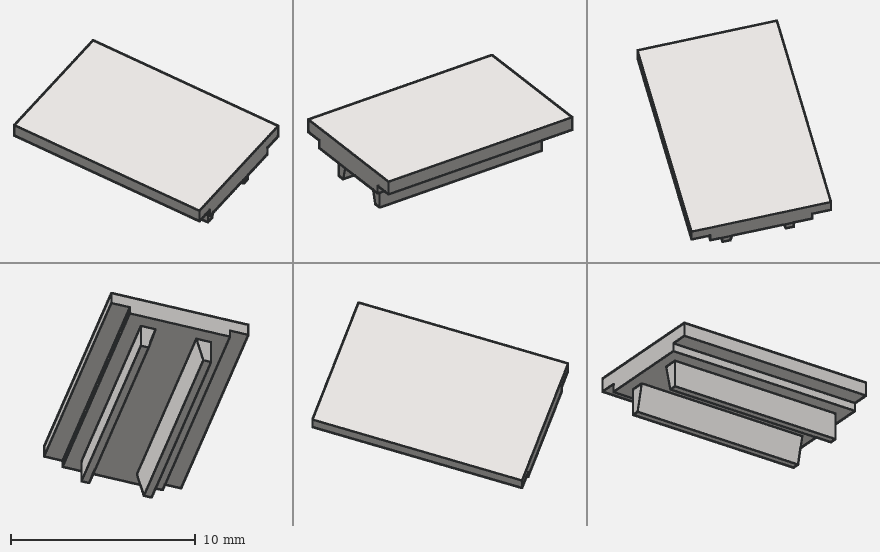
import cadquery as cq

length = 12.0
width = 7.8
height = 2.85

plate_thickness = 0.8
step_thickness = 0.48
step_width = 5.7

rail_length = 10.6
rail_outer_spacing = 4.0
rail_root_width = 0.84
rail_tip_width = 0.45

step_top = height - plate_thickness
rail_top = step_top - step_thickness


def make_plate():
    """Top plate, resting on z = step_top."""
    return cq.Workplane("XY").workplane(offset=step_top).box(
        length, width, plate_thickness, centered=(True, True, False)
    )


def make_step():
    """Narrower full-length step below the plate."""
    return cq.Workplane("XY").workplane(offset=rail_top).box(
        length, step_width, step_thickness, centered=(True, True, False)
    )


def make_rail(side):
    """Rail with a vertical outer face and a sloped inner face; side is -1 or 1 along Y."""
    outer = rail_outer_spacing / 2
    profile = [
        (side * outer, 0),
        (side * outer, rail_top),
        (side * (outer - rail_root_width), rail_top),
        (side * (outer - rail_tip_width), 0),
    ]
    return cq.Workplane("YZ").polyline(profile).close().extrude(rail_length / 2, both=True)


result = make_plate().union(make_step())
for side in (-1, 1):
    result = result.union(make_rail(side))